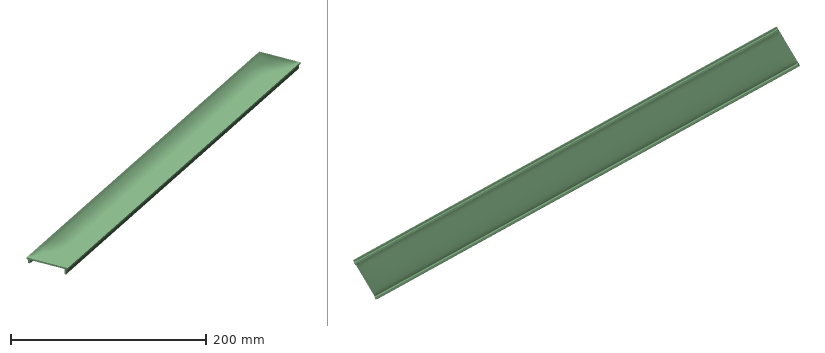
import cadquery as cq

length = 500.0
width = 48.0
height = 8.0
plate_thickness = 2.0
leg_thickness = 2.0
leg_inset = 2.0
left_leg_bottom = 2.0


def leg(outer_x, direction, bottom):
    """Full-length leg growing inward from outer_x, up to the plate underside."""
    center_x = outer_x + direction * leg_thickness / 2
    leg_height = height - plate_thickness - bottom
    return (
        cq.Workplane("XY", origin=(center_x, 0, bottom))
        .box(leg_thickness, length, leg_height, centered=(True, True, False))
    )


plate = (
    cq.Workplane("XY", origin=(0, 0, height - plate_thickness))
    .box(width, length, plate_thickness, centered=(True, True, False))
)
left_leg = leg(-width / 2 + leg_inset, 1, left_leg_bottom)
right_leg = leg(width / 2 - leg_inset, -1, 0)

result = plate.union(left_leg).union(right_leg)